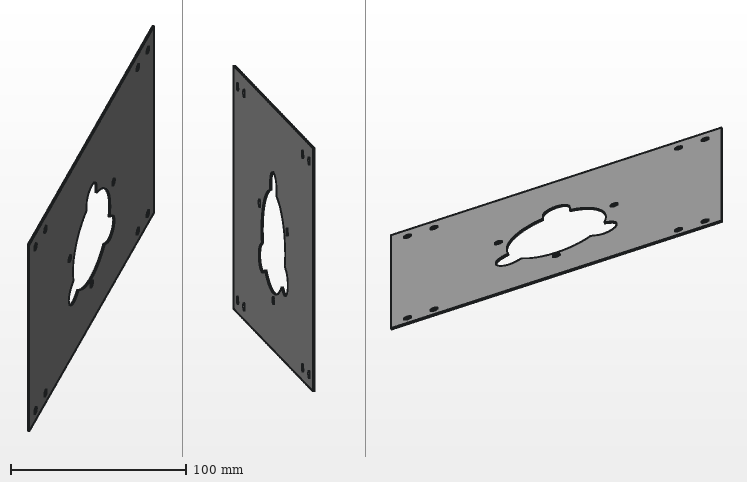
import cadquery as cq

thickness = 1.0
width = 200.0
height = 143.0

hole_diameter = 4.5
outer_hole_y = 90.0
inner_hole_y = 74.0
upper_hole_z = 61.5
lower_hole_z = -64.0

opening_center_z = -8.0
opening_diameter = 60.0
lobe_diameter = 16.5
lobe_center_radius = 32.8
screw_side_y = 35.0
screw_side_z = 6.5
screw_bottom_z = -42.5
lobe_angles = (90, 210, 330)


def drill(points, diameter):
    """Return cylinders along X that pass through the plate at the given (y, z) points."""
    return (
        cq.Workplane("YZ")
        .pushPoints(points)
        .circle(diameter / 2)
        .extrude(thickness, both=True)
    )


def opening_cutter():
    """Return the disc joined with its lobes, each lobe a round-ended radial slot."""
    cutter = drill([(0, opening_center_z)], opening_diameter)
    for angle in lobe_angles:
        slot = (
            cq.Workplane("YZ")
            .center(lobe_center_radius / 2, 0)
            .slot2D(lobe_center_radius + lobe_diameter, lobe_diameter)
            .extrude(thickness, both=True)
            .rotate((0, 0, 0), (1, 0, 0), angle)
            .translate((0, 0, opening_center_z))
        )
        cutter = cutter.union(slot)
    return cutter


corner_points = [
    (side * y, z)
    for side in (-1, 1)
    for y in (outer_hole_y, inner_hole_y)
    for z in (upper_hole_z, lower_hole_z)
]
screw_points = [
    (-screw_side_y, screw_side_z),
    (screw_side_y, screw_side_z),
    (0, screw_bottom_z),
]

plate = cq.Workplane("XY").box(thickness, width, height)
result = plate.cut(drill(corner_points + screw_points, hole_diameter)).cut(opening_cutter())